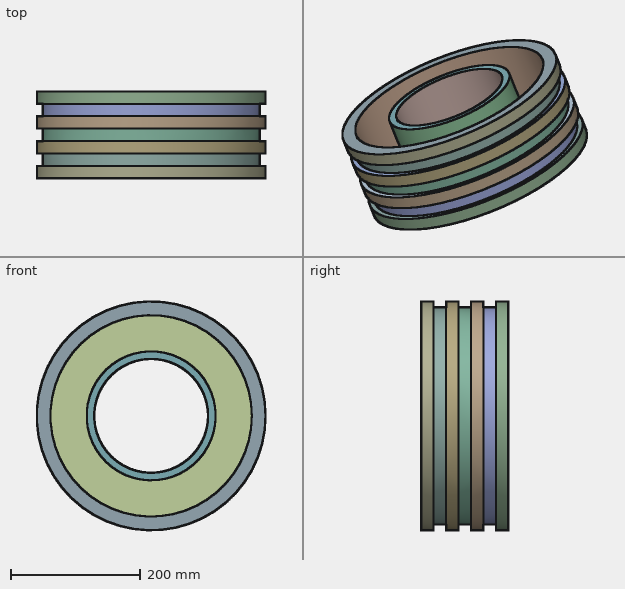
import cadquery as cq

rim_diameter = 355.0
groove_diameter = 337.2
rim_inner_diameter = 312.0
hub_diameter = 200.0
bore_diameter = 176.0
width = 135.0
groove_count = 3
recess_depth = 123.2

band_width = width / (2 * groove_count + 1)


def ring(outer_diameter, inner_diameter, start, length):
    """Ring about the Y axis, from Y = start to Y = start + length."""
    plane = cq.Workplane("XZ", origin=(0, start, 0))
    return plane.circle(outer_diameter / 2).circle(inner_diameter / 2).extrude(-length)


front_face = -width / 2

result = ring(rim_diameter, bore_diameter, front_face, width)

result = result.cut(ring(rim_inner_diameter, hub_diameter, front_face, recess_depth))

for index in range(groove_count):
    groove_start = front_face + (2 * index + 1) * band_width
    result = result.cut(ring(rim_diameter, groove_diameter, groove_start, band_width))